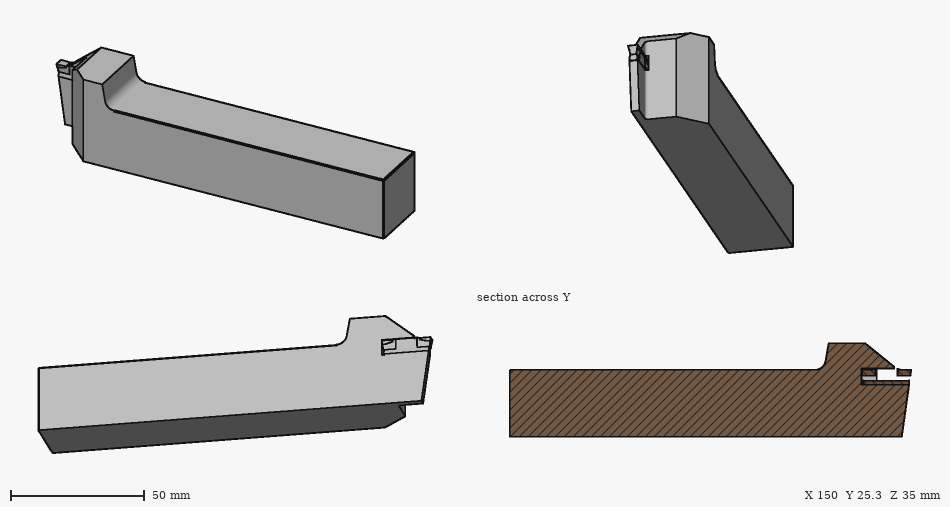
import cadquery as cq
import math

TOOL_LENGTH = 150.0
SHANK_SIZE = 25.0
HEAD_HEIGHT = 35.0
SHANK_CHAMFER = 0.5
RELIEF_ANGLE = 8.0

HEAD_FACE_X = 12.9
HEAD_TOP_START_X = 17.3
HEAD_TOP_END_X = 30.9
HEAD_CORNER_X = 23.0
HEAD_BACK_ANGLE = 10.0
HEAD_BACK_FILLET = 3.8

BLADE_THICKNESS = 3.2
BLADE_FILLET = 1.2
JAW_FRONT_X = 6.3
JAW_TIP_Z = 26.1

INSERT_LENGTH = 18.6
CUTTING_OVERHANG = 0.3
LAND_LENGTH = 1.4
LAND_HEIGHT = 1.4
FLANK_END_FLARE = 0.08
FLANK_END_HEIGHT = 0.6
HEAD_HALF_WIDTH = 1.7
WAIST_HALF_WIDTH = 1.2
FOOT_HALF_WIDTH = BLADE_THICKNESS / 2
CREST_HALF_WIDTH = 1.0
KEEL_HALF_WIDTH = 0.8
KEEL_Z = 19.2
FOOT_BASE_Z = 19.8
FOOT_Z = 20.3
WAIST_Z = 21.6
CREST_Z = 25.5
CREST_GROOVE_DEPTH = 0.5
RAMP_START_X = 4.0
RAMP_END_X = 5.4
SHOULDER_X = 5.3

SEAT_SIDE_CLEARANCE = 1.2

INSERT_CENTER_Y = -BLADE_THICKNESS / 2
CUTTING_HALF_WIDTH = CUTTING_OVERHANG - INSERT_CENTER_Y


def relief_x(z):
    """X of the sloping front line at height z, zero at the cutting edge."""
    return (SHANK_SIZE - z) * math.tan(math.radians(RELIEF_ANGLE))


def prism_along_x(section, start_x, end_x):
    """Extrude a (y, z) section from start_x to end_x."""
    return cq.Workplane("YZ", origin=(start_x, 0, 0)).polyline(section).close().extrude(end_x - start_x)


def prism_along_y(outline, y_max, y_min):
    """Extrude an (x, z) outline from y_max down to y_min."""
    return cq.Workplane("XZ", origin=(0, y_max, 0)).polyline(outline).close().extrude(y_max - y_min)


def symmetric_section(half_section):
    """Mirror (half width, z) points, listed bottom to top, about the insert's middle plane."""
    right = [(INSERT_CENTER_Y + w, z) for w, z in half_section]
    left = [(INSERT_CENTER_Y - w, z) for w, z in reversed(half_section)]
    return right + left



def make_shank():
    shank = cq.Workplane("XY").box(
        TOOL_LENGTH - HEAD_CORNER_X, SHANK_SIZE, SHANK_SIZE, centered=False
    ).translate((HEAD_CORNER_X, -SHANK_SIZE, 0))
    shank = shank.faces(">Z").edges("|X or >X").chamfer(SHANK_CHAMFER)
    return shank.edges("|Z and >X").chamfer(SHANK_CHAMFER)


def head_side_profile():
    """Side outline of blade and head, ending in the fillet that runs out onto the shank."""
    back_angle = math.radians(HEAD_BACK_ANGLE)
    back_foot_x = HEAD_TOP_END_X + (HEAD_HEIGHT - SHANK_SIZE) * math.tan(back_angle)
    tangent = HEAD_BACK_FILLET * math.tan((math.pi / 2 - back_angle) / 2)
    fillet_end_x = back_foot_x + tangent
    fillet_start = (back_foot_x - tangent * math.sin(back_angle), SHANK_SIZE + tangent * math.cos(back_angle))
    mid_angle = (math.pi / 2 + back_angle) / 2
    fillet_mid = (
        fillet_end_x - HEAD_BACK_FILLET * math.cos(mid_angle),
        SHANK_SIZE + HEAD_BACK_FILLET * (1 - math.sin(mid_angle)),
    )
    return (
        cq.Workplane("XZ")
        .moveTo(relief_x(0), 0)
        .lineTo(relief_x(FOOT_BASE_Z), FOOT_BASE_Z)
        .lineTo(JAW_FRONT_X, FOOT_BASE_Z)
        .lineTo(JAW_FRONT_X, JAW_TIP_Z)
        .lineTo(HEAD_TOP_START_X, HEAD_HEIGHT)
        .lineTo(HEAD_TOP_END_X, HEAD_HEIGHT)
        .lineTo(*fillet_start)
        .threePointArc(fillet_mid, (fillet_end_x, SHANK_SIZE))
        .lineTo(fillet_end_x, 0)
        .close()
        .extrude(SHANK_SIZE)
    )


def head_plan_profile():
    """Plan outline: thin blade, filleted root, head face and 45 degree corner cut."""
    corner_cut = HEAD_CORNER_X - HEAD_FACE_X
    plan = (
        cq.Workplane("XY")
        .polyline([
            (0, 0),
            (0, -BLADE_THICKNESS),
            (HEAD_FACE_X, -BLADE_THICKNESS),
            (HEAD_FACE_X, -SHANK_SIZE + corner_cut),
            (HEAD_CORNER_X, -SHANK_SIZE),
            (TOOL_LENGTH, -SHANK_SIZE),
            (TOOL_LENGTH, 0),
        ])
        .close()
        .extrude(HEAD_HEIGHT)
    )
    root = cq.NearestToPointSelector((HEAD_FACE_X, -BLADE_THICKNESS, HEAD_HEIGHT / 2))
    return plan.edges("|Z").edges(root).fillet(BLADE_FILLET)


def make_seat():
    """Slot for the insert: keel groove below, crest rib above, open at the flush side and the front."""
    seat_wall_y = -BLADE_THICKNESS - SEAT_SIDE_CLEARANCE
    section = [
        (CUTTING_OVERHANG, FOOT_BASE_Z),
        (INSERT_CENTER_Y + FOOT_HALF_WIDTH, FOOT_BASE_Z),
        (INSERT_CENTER_Y + KEEL_HALF_WIDTH, KEEL_Z),
        (INSERT_CENTER_Y - KEEL_HALF_WIDTH, KEEL_Z),
        (INSERT_CENTER_Y - FOOT_HALF_WIDTH, FOOT_BASE_Z),
        (seat_wall_y, FOOT_BASE_Z),
        (seat_wall_y, CREST_Z),
        (INSERT_CENTER_Y - CREST_HALF_WIDTH, CREST_Z),
        (INSERT_CENTER_Y, CREST_Z - CREST_GROOVE_DEPTH),
        (INSERT_CENTER_Y + CREST_HALF_WIDTH, CREST_Z),
        (CUTTING_OVERHANG, CREST_Z),
    ]
    return prism_along_x(section, 0, INSERT_LENGTH)


def make_holder():
    head = head_side_profile().intersect(head_plan_profile())
    return head.union(make_shank()).cut(make_seat())



def insert_middle():
    section = symmetric_section([
        (KEEL_HALF_WIDTH, KEEL_Z),
        (FOOT_HALF_WIDTH, FOOT_BASE_Z),
        (FOOT_HALF_WIDTH, FOOT_Z),
        (WAIST_HALF_WIDTH, WAIST_Z),
        (CREST_HALF_WIDTH, CREST_Z),
    ])
    return prism_along_x(section, 0, INSERT_LENGTH)


def crest_groove():
    """V groove along the whole crest, seated on the rib of the jaw."""
    section = [
        (INSERT_CENTER_Y - CREST_HALF_WIDTH, CREST_Z),
        (INSERT_CENTER_Y, CREST_Z - CREST_GROOVE_DEPTH),
        (INSERT_CENTER_Y + CREST_HALF_WIDTH, CREST_Z),
    ]
    return prism_along_x(section, 0, INSERT_LENGTH)


def flank_section(top_half_width, height):
    """Flaring section that hangs down from cutting height to the plain width of the cutting head."""
    return symmetric_section([(HEAD_HALF_WIDTH, SHANK_SIZE - height), (top_half_width, SHANK_SIZE)])


def insert_cutting_head():
    """Wider head at the front, flaring at the cutting land and tapering back along the flank."""
    head = prism_along_x(
        symmetric_section([(WAIST_HALF_WIDTH, WAIST_Z), (HEAD_HALF_WIDTH, CREST_Z)]), 0, SHOULDER_X
    )
    land_section = flank_section(CUTTING_HALF_WIDTH, LAND_HEIGHT)
    flank_end_section = flank_section(HEAD_HALF_WIDTH + FLANK_END_FLARE, FLANK_END_HEIGHT)
    land = prism_along_x(land_section, 0, LAND_LENGTH)
    flank = (
        cq.Workplane("YZ", origin=(LAND_LENGTH, 0, 0))
        .polyline(land_section)
        .close()
        .workplane(offset=RAMP_START_X - LAND_LENGTH)
        .polyline(flank_end_section)
        .close()
        .loft(ruled=True)
    )
    return head.union(land).union(flank)


def insert_end_envelope():
    """Side outline with relieved ends, a set-back foot and ramps from the cutting edges to the crest."""
    foot_front_x = relief_x(FOOT_BASE_Z)
    front = [
        (foot_front_x, KEEL_Z),
        (foot_front_x, WAIST_Z),
        (relief_x(WAIST_Z), WAIST_Z),
        (0, SHANK_SIZE),
        (RAMP_START_X, SHANK_SIZE),
        (RAMP_END_X, CREST_Z),
    ]
    back = [(INSERT_LENGTH - x, z) for x, z in reversed(front)]
    return prism_along_y(front + back, SHANK_SIZE, -SHANK_SIZE)


def make_insert():
    front_head = insert_cutting_head()
    back_head = front_head.mirror("YZ").translate((INSERT_LENGTH, 0, 0))
    blank = insert_middle().union(front_head).union(back_head)
    return blank.intersect(insert_end_envelope()).cut(crest_groove())


holder = make_holder()
insert = make_insert()
result = cq.Compound.makeCompound([holder.solids().val(), insert.solids().val()])